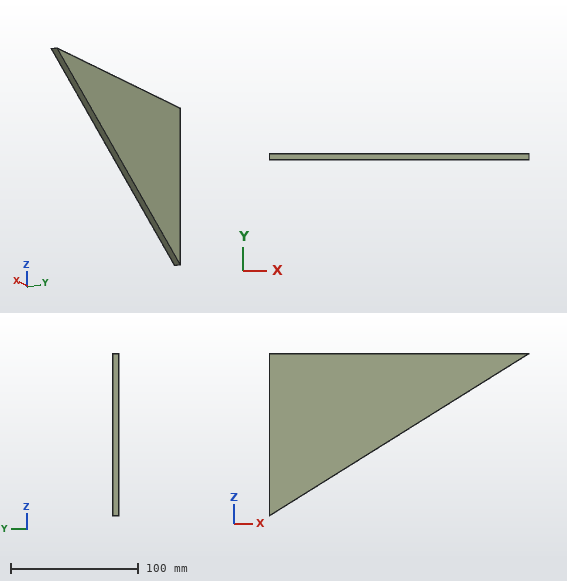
import cadquery as cq

length = 203.2
height = 127.0
thickness = 5.08


def triangular_plate():
    """Triangle with its right angle at the upper -X corner, thickened along +Y."""
    outline = (
        cq.Workplane("XZ")
        .moveTo(0, 0)
        .lineTo(length, height)
        .lineTo(0, height)
        .close()
    )
    return outline.extrude(-thickness)


result = triangular_plate()